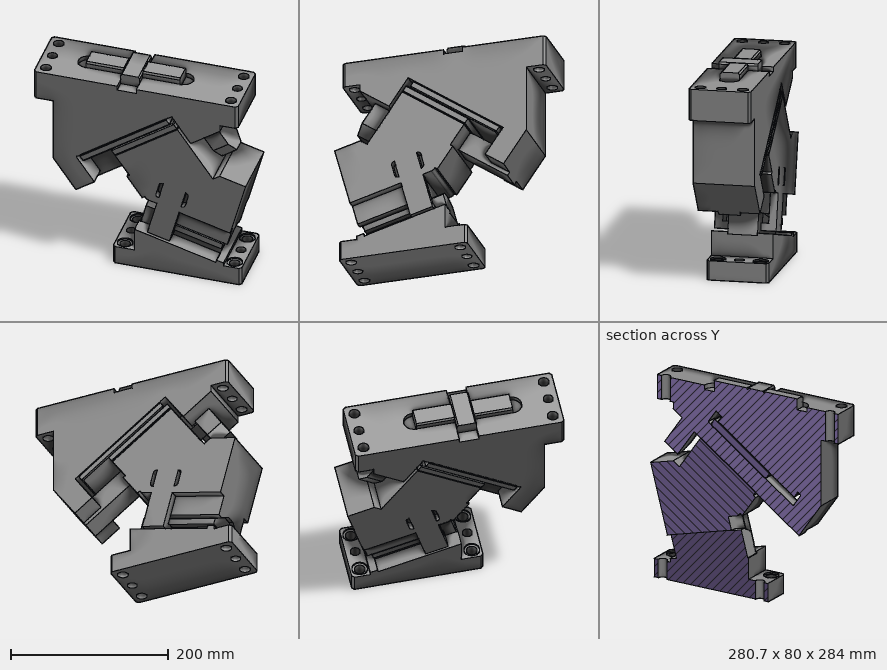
import math

import cadquery as cq

half_width = 40.0
total_height = 284.0
corner_chamfer = 3.0

slide_angle = 35.0
ramp_angle = -15.0

bolt_hole_diameter = 13.5
dowel_hole_diameter = 12.5
hole_end_distance = 12.5
bolt_spacing = 55.0
counterbore_diameter = 20.0
counterbore_depth = 2.0

key_height = 8.8
housing_top = total_height - key_height
housing_length = 270.0
left_flange_bottom = 234.5
right_flange_bottom = 242.3
housing_left_wall = 25.5
housing_right_wall = 246.8
recess_start = 134.5
recess_end = 288.8
recess_roof = 94.0
arm_start = 104.8
arm_bottom = 52.3
shoulder_bottom = 49.7

bar_half_width = 14.2
bar_bottom = 47.1
bar_top = 74.5

block_start = 295.6
block_length = 24.0
block_bottom = 4.0
block_half_width = 18.0
block_chamfer_height = 15.0
block_chamfer_width = 8.5

plate_start = 139.7
plate_end = 279.2
plate_bottom = 84.3
plate_chamfer = 1.5

key_width = 25.3
key_chamfer_height = 2.5
key_chamfer_width = 1.7
key_center_x = 123.3
long_key_length = 124.5
cross_key_length = 50.5
seat_depth = 6.0
seat_length = 152.5

slider_start = 184.0
slider_end = 284.5
slider_plate_bottom = 74.5
notch_bottom = -7.5
slider_back = 231.2
slider_top = 221.5
side_bottom = 142.5
core_half_width = 29.8
core_bottom = 115.5
core_setback = 0.9
heel_radius = 7.0
bumper_start = 180.0
bumper_bottom = 6.5
bumper_height = 35.5
leg_start = 130.5
leg_width = 30.5
leg_bottom = 93.7
hook_gap_half_width = 20.2
relief_bottom = 152.2
relief_height = 23.3
relief_width = 4.8
relief_radius = 4.3

base_start_x = 104.8
base_end_x = 275.0
base_plate_height = 25.3
ramp_start_x = 133.5
ramp_end_x = 251.3
seat_level = 90.0
end_step_level = 93.7
rail_start = 116.5
rail_end = 225.5
wing_start = 142.3
neck_half_width = 19.3
key_slot_level = 87.0
wing_half_width = 27.3
ridge_half_width = 6.8
ridge_level = 124.5
wing_top = 111.3
wing_bottom = 103.5


def rotated(angle, along, above):
    """Global X and Z of a point given in the frame tilted by the angle."""
    tilt = math.radians(angle)
    x = along * math.cos(tilt) - above * math.sin(tilt)
    z = along * math.sin(tilt) + above * math.cos(tilt)
    return (x, z)


def slide_point(along, above):
    return rotated(slide_angle, along, above)


def ramp_point(along, above):
    return rotated(ramp_angle, along, above)


def point_at_x(angle, x, above):
    """Global X and Z where a line along the tilted frame, at the given height, crosses X."""
    tilt = math.radians(angle)
    return (x, (above + x * math.sin(tilt)) / math.cos(tilt))


def full_width_prism(outline):
    """Solid from an X-Z outline, symmetric about the mid-plane."""
    return cq.Workplane("XZ").polyline(outline).close().extrude(half_width, both=True)


def place(body, angle, along, above):
    """The body tilted by the angle about Y and moved to a point of that tilted frame."""
    x, z = rotated(angle, along, above)
    return body.rotate((0, 0, 0), (0, 1, 0), -angle).translate((x, 0, z))


def tilted_box(angle, start, end, bottom, top, half_depth):
    """Box with sides parallel to a tilted frame, symmetric about the mid-plane."""
    box = cq.Workplane("XY").box(end - start, 2 * half_depth, top - bottom, centered=(False, True, False))
    return place(box, angle, start, bottom)


def ramp_extrusion(section, start, end):
    """Section of (Y, height above the ramp) points extruded along the ramp."""
    body = cq.Workplane("YZ").polyline(section).close().extrude(end - start)
    return place(body, ramp_angle, start, 0)


def both_sides(body):
    """The body together with its mirror image across the mid-plane."""
    return body.union(body.mirror("XZ"))


def bolt_points(x_positions):
    """Two bolt centres, front and back, at each X."""
    return [(x, side * bolt_spacing / 2) for x in x_positions for side in (-1, 1)]


def upright_cylinders(centres, diameter, bottom, top):
    plane = cq.Workplane("XY", origin=(0, 0, bottom))
    return plane.pushPoints(centres).circle(diameter / 2).extrude(top - bottom)


def mounting_holes(x_positions, bottom, top):
    """Two bolt holes with a dowel hole between them at each X, between two heights."""
    dowel_points = [(x, 0) for x in x_positions]
    bolt_holes = upright_cylinders(bolt_points(x_positions), bolt_hole_diameter, bottom, top)
    return bolt_holes.union(upright_cylinders(dowel_points, dowel_hole_diameter, bottom, top))


def key(length):
    """Key along X with bevelled long top edges, standing on its seat."""
    half = key_width / 2
    bottom = housing_top - seat_depth
    outline = [
        (-half, bottom),
        (half, bottom),
        (half, total_height - key_chamfer_height),
        (half - key_chamfer_width, total_height),
        (key_chamfer_width - half, total_height),
        (-half, total_height - key_chamfer_height),
    ]
    return cq.Workplane("YZ").polyline(outline).close().extrude(length / 2, both=True)


def slide_plate(start, end, bottom, top):
    """Full-width plate along the slide, bevelled round its upper and lower faces."""
    plate = cq.Workplane("XY").box(end - start, 2 * half_width, top - bottom, centered=(False, True, False))
    plate = plate.faces("<Z or >Z").chamfer(plate_chamfer)
    return place(plate, slide_angle, start, bottom)


def stop_block():
    """Block hanging square to the slide, bevelled on both sides at its tip."""
    tip = block_half_width - block_chamfer_width
    height = shoulder_bottom - block_bottom
    section = [
        (-tip, 0),
        (tip, 0),
        (block_half_width, block_chamfer_height),
        (block_half_width, height),
        (-block_half_width, height),
        (-block_half_width, block_chamfer_height),
    ]
    block = cq.Workplane("YZ").polyline(section).close().extrude(block_length)
    return place(block, slide_angle, block_start, block_bottom)


def make_housing():
    corner_x, corner_z = slide_point(arm_start, arm_bottom)
    run = (corner_x - housing_left_wall) / math.tan(math.radians(slide_angle))
    outline = [
        (0, housing_top),
        (0, left_flange_bottom),
        (housing_left_wall, left_flange_bottom),
        (housing_left_wall, corner_z + run),
        (corner_x, corner_z),
        slide_point(recess_start, arm_bottom),
        slide_point(recess_start, recess_roof),
        slide_point(recess_end, recess_roof),
        slide_point(recess_end, shoulder_bottom),
        point_at_x(slide_angle, housing_right_wall, shoulder_bottom),
        (housing_right_wall, right_flange_bottom),
        (housing_length, right_flange_bottom),
        (housing_length, housing_top),
    ]
    body = full_width_prism(outline)
    body = body.edges("|Z and (<X or >X)").chamfer(corner_chamfer)

    body = body.union(guide_bar)
    body = body.union(stop_block())
    body = body.union(slide_plate(plate_start, plate_end, plate_bottom, recess_roof))

    top_plane = cq.Workplane("XY", origin=(key_center_x, 0, housing_top))
    body = body.cut(top_plane.slot2D(seat_length, key_width).extrude(-seat_depth))
    body = body.cut(top_plane.rect(key_width, 2 * half_width).extrude(-seat_depth))
    half_key_length = (long_key_length - key_width) / 2
    half_key_offset = (key_width + half_key_length) / 2
    for side in (-1, 1):
        body = body.union(key(half_key_length).translate((key_center_x + side * half_key_offset, 0, 0)))
    cross_key = key(cross_key_length).rotate((0, 0, 0), (0, 0, 1), 90)
    body = body.union(cross_key.translate((key_center_x, 0, 0)))

    hole_positions = [hole_end_distance, housing_length - hole_end_distance]
    return body.cut(mounting_holes(hole_positions, left_flange_bottom, housing_top))


def roof_section(half_span, bottom):
    """Flat-ridged roof section, its slopes running out to the given half span."""
    slope = (ridge_level - wing_top) / (wing_half_width - ridge_half_width)
    eaves = ridge_level - slope * (half_span - ridge_half_width)
    return [
        (-ridge_half_width, ridge_level),
        (ridge_half_width, ridge_level),
        (half_span, eaves),
        (half_span, bottom),
        (-half_span, bottom),
        (-half_span, eaves),
    ]


def relief_slots():
    """Slots in both side faces along the two edges of each leg, rounded on the outer corners."""
    depth = half_width - core_half_width
    block = cq.Workplane("XY").box(leg_width + 2 * relief_width, depth, relief_height, centered=False)
    block = block.edges("|Y").fillet(relief_radius)
    leg = cq.Workplane("XY").box(leg_width, depth, relief_height, centered=False)
    slots = block.cut(leg.translate((relief_width, 0, 0))).translate((0, core_half_width, 0))
    return both_sides(place(slots, ramp_angle, leg_start - relief_width, relief_bottom))


def make_slider():
    turn = math.radians(slide_angle - ramp_angle)
    heel_above = (side_bottom - slider_start * math.sin(turn)) / math.cos(turn)
    notch_along = (slider_top - notch_bottom * math.cos(turn)) / math.sin(turn)

    outline = [
        slide_point(slider_start, slider_plate_bottom),
        slide_point(slider_start, heel_above),
        ramp_point(slider_back, side_bottom),
        ramp_point(slider_back, slider_top),
        slide_point(notch_along, notch_bottom),
        slide_point(slider_end, notch_bottom),
        slide_point(slider_end, slider_plate_bottom),
    ]
    body = full_width_prism(outline)
    heel_x, heel_z = slide_point(slider_start, heel_above)
    body = body.edges(cq.selectors.NearestToPointSelector((heel_x, 0, heel_z))).fillet(heel_radius)

    bumper_top = bumper_bottom + bumper_height
    body = body.union(
        tilted_box(slide_angle, bumper_start, slider_end, bumper_bottom, bumper_top, half_width)
    )
    body = body.union(slide_plate(slider_start, slider_end, slider_plate_bottom, plate_bottom))

    core_start = leg_start + core_setback
    body = body.union(
        tilted_box(ramp_angle, core_start, slider_back, core_bottom, side_bottom, core_half_width)
    )

    leg_section = [
        (core_half_width, side_bottom),
        (half_width, side_bottom),
        (half_width, leg_bottom),
        (hook_gap_half_width, leg_bottom),
        (hook_gap_half_width, wing_bottom),
        (core_half_width, wing_bottom),
    ]
    body = body.union(both_sides(ramp_extrusion(leg_section, leg_start, leg_start + leg_width)))

    body = body.cut(relief_slots())
    body = body.cut(ramp_extrusion(roof_section(wing_half_width, wing_bottom), rail_start, slider_back))
    return body.cut(guide_bar)


def make_base():
    outline = [
        (base_start_x, 0),
        (base_end_x, 0),
        (base_end_x, base_plate_height),
        (ramp_end_x, base_plate_height),
        point_at_x(ramp_angle, ramp_end_x, end_step_level),
        ramp_point(rail_end, end_step_level),
        ramp_point(rail_end, seat_level),
        point_at_x(ramp_angle, ramp_start_x, seat_level),
        (ramp_start_x, base_plate_height),
        (base_start_x, base_plate_height),
    ]
    body = full_width_prism(outline)
    body = body.edges("|Z and (<X or >X)").chamfer(corner_chamfer)

    body = body.cut(tilted_box(ramp_angle, 0, rail_start, key_slot_level, seat_level, neck_half_width))

    body = body.union(ramp_extrusion(roof_section(neck_half_width, key_slot_level), rail_start, rail_end))
    body = body.union(ramp_extrusion(roof_section(wing_half_width, wing_bottom), wing_start, rail_end))

    hole_positions = [base_start_x + hole_end_distance, base_end_x - hole_end_distance]
    body = body.cut(mounting_holes(hole_positions, 0, base_plate_height))
    counterbore_floor = base_plate_height - counterbore_depth
    return body.cut(
        upright_cylinders(
            bolt_points(hole_positions), counterbore_diameter, counterbore_floor, base_plate_height
        )
    )


guide_bar = tilted_box(slide_angle, arm_start, block_start, bar_bottom, bar_top, bar_half_width)
housing = make_housing()
slider = make_slider()
base = make_base()
bodies = [body.solids().val() for body in (housing, slider, base)]
result = cq.Compound.makeCompound(bodies)